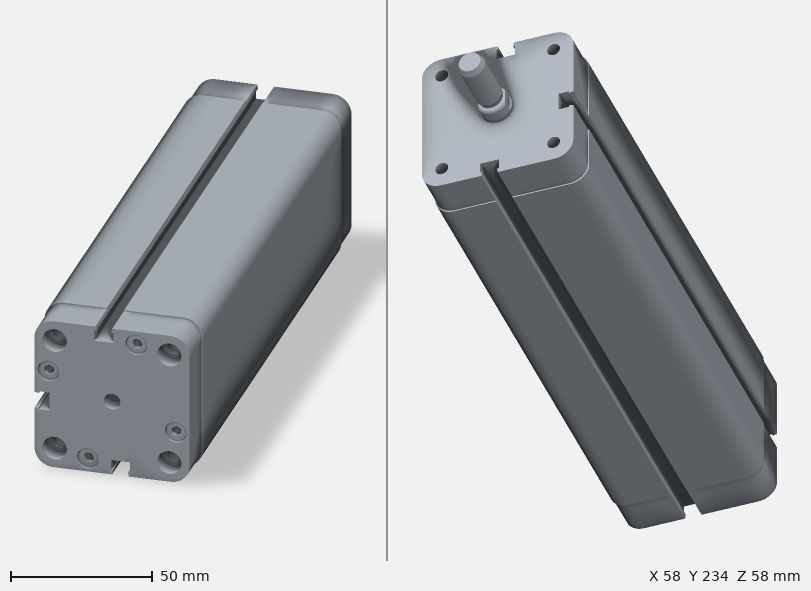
import cadquery as cq
import math

TOTAL_LENGTH = 234.0
BODY_SIZE = 58.0
CAP_SIZE = 57.0
CAP_LENGTH = 14.7
CORNER_RADIUS = 7.0
ROD_PROJECTION = 28.3

SLOT_OFFSET = 3.0
SLOT_OUTER_WIDTH = 6.3
SLOT_NECK_WIDTH = 5.5
SLOT_MOUTH_DEPTH = 2.0
SLOT_WIDTH = 7.0
SLOT_DEPTH = 6.0
SLOT_ANGLES = (0, 90, 180)

MOUNT_SPACING = 42.1
MOUNT_HOLE_DIAMETER = 5.0
MOUNT_COUNTERBORE_DIAMETER = 9.0
MOUNT_COUNTERBORE_DEPTH = 6.0

SCREW_SIDE_OFFSET = 9.0
SCREW_CENTRE_HEIGHT = 23.5
SCREW_RECESS_DIAMETER = 8.0
SCREW_HEAD_DIAMETER = 7.5
SCREW_RECESS_DEPTH = 5.0
SCREW_HEAD_HEIGHT = 4.0
SOCKET_ACROSS_FLATS = 3.5
SOCKET_DEPTH = 2.0

CENTRE_HOLE_DIAMETER = 6.0
CENTRE_HOLE_DEPTH = 6.0

ROD_DIAMETER = 12.0
ROD_END_FILLET = 1.5
FLATS_WIDTH = 10.0
FLATS_LENGTH = 4.2
UNDERCUT_DIAMETER = 8.0
UNDERCUT_LENGTH = 2.5
THREAD_DIAMETER = 10.0
THREAD_LENGTH = 19.5
THREAD_CHAMFER = 2.3
THREAD_CHAMFER_INSET = 1.0

HOUSING_LENGTH = TOTAL_LENGTH - ROD_PROJECTION
BODY_LENGTH = HOUSING_LENGTH - 2 * CAP_LENGTH
ROD_SHOULDER_Y = TOTAL_LENGTH - THREAD_LENGTH - UNDERCUT_LENGTH


def section_at(y):
    """Workplane across the cylinder axis; extrusions run towards +Y (local x = X, local y = -Z)."""
    return cq.Workplane("XZ", origin=(0, y, 0)).transformed(rotate=(180, 0, 0))


def rounded_bar(size, y, length):
    return section_at(y).rect(size, size).extrude(length).edges("|Y").fillet(CORNER_RADIUS)


def cylinder(diameter, y, length):
    return section_at(y).circle(diameter / 2).extrude(length)


def around_axis(shape, angle):
    return shape.rotate((0, 0, 0), (0, 1, 0), angle)


def sensor_slot():
    """Full-length slot cutter in the top side."""
    surface = BODY_SIZE / 2
    neck = surface - SLOT_MOUTH_DEPTH
    floor = surface - SLOT_DEPTH
    right_half = [
        (SLOT_WIDTH / 2, floor),
        (SLOT_WIDTH / 2, neck),
        (SLOT_NECK_WIDTH / 2, neck),
        (SLOT_OUTER_WIDTH / 2, surface),
    ]
    left_half = [(-x, z) for x, z in reversed(right_half)]
    profile = cq.Workplane("XZ").polyline(right_half + left_half).close()
    return profile.extrude(-HOUSING_LENGTH).translate((-SLOT_OFFSET, 0, 0))


def mounting_hole():
    counterbore = cylinder(MOUNT_COUNTERBORE_DIAMETER, 0, MOUNT_COUNTERBORE_DEPTH)
    return cylinder(MOUNT_HOLE_DIAMETER, 0, HOUSING_LENGTH).union(counterbore)


def screw_recess():
    """Cutter that leaves a socket-head screw standing in its recess."""
    head_y = SCREW_RECESS_DEPTH - SCREW_HEAD_HEIGHT
    head = cylinder(SCREW_HEAD_DIAMETER, head_y, SCREW_HEAD_HEIGHT)
    socket_corners = SOCKET_ACROSS_FLATS / math.cos(math.pi / 6)
    socket = section_at(head_y).polygon(6, socket_corners).extrude(SOCKET_DEPTH)
    recess = cylinder(SCREW_RECESS_DIAMETER, 0, SCREW_RECESS_DEPTH).cut(head).union(socket)
    return recess.translate((SCREW_SIDE_OFFSET, 0, SCREW_CENTRE_HEIGHT))


def piston_rod():
    """Turned rod revolved about Y, with ramped wrench flats facing -X and +X."""
    rod = ROD_DIAMETER / 2
    undercut = UNDERCUT_DIAMETER / 2
    thread = THREAD_DIAMETER / 2
    thread_y = TOTAL_LENGTH - THREAD_LENGTH
    base_y = HOUSING_LENGTH - CAP_LENGTH
    turned = (
        cq.Workplane("XY")
        .moveTo(0, base_y)
        .lineTo(rod, base_y)
        .lineTo(rod, ROD_SHOULDER_Y - ROD_END_FILLET)
        .tangentArcPoint((-ROD_END_FILLET, ROD_END_FILLET))
        .lineTo(undercut, ROD_SHOULDER_Y)
        .lineTo(undercut, thread_y)
        .lineTo(thread, thread_y)
        .lineTo(thread, TOTAL_LENGTH - THREAD_CHAMFER)
        .lineTo(thread - THREAD_CHAMFER_INSET, TOTAL_LENGTH)
        .lineTo(0, TOTAL_LENGTH)
        .close()
        .revolve(360, (0, 0, 0), (0, 1, 0))
    )
    flat = FLATS_WIDTH / 2
    flats_y = ROD_SHOULDER_Y - FLATS_LENGTH
    ramp_rise = ROD_DIAMETER - flat
    flat_cut = (
        cq.Workplane("XY", origin=(0, 0, -ROD_DIAMETER / 2))
        .moveTo(flat, ROD_SHOULDER_Y)
        .lineTo(flat, flats_y)
        .lineTo(flat + ramp_rise, flats_y - ramp_rise)
        .lineTo(flat + ramp_rise, ROD_SHOULDER_Y)
        .close()
        .extrude(ROD_DIAMETER)
    )
    return turned.cut(flat_cut).cut(flat_cut.mirror("YZ"))


result = rounded_bar(CAP_SIZE, 0, HOUSING_LENGTH)
result = result.union(rounded_bar(BODY_SIZE, CAP_LENGTH, BODY_LENGTH))

for angle in SLOT_ANGLES:
    result = result.cut(around_axis(sensor_slot(), -angle))

for x_sign in (-1, 1):
    for z_sign in (-1, 1):
        position = (x_sign * MOUNT_SPACING / 2, 0, z_sign * MOUNT_SPACING / 2)
        result = result.cut(mounting_hole().translate(position))

for angle in (0, 90, 180, 270):
    result = result.cut(around_axis(screw_recess(), angle))

result = result.cut(cylinder(CENTRE_HOLE_DIAMETER, 0, CENTRE_HOLE_DEPTH))
result = result.union(piston_rod())